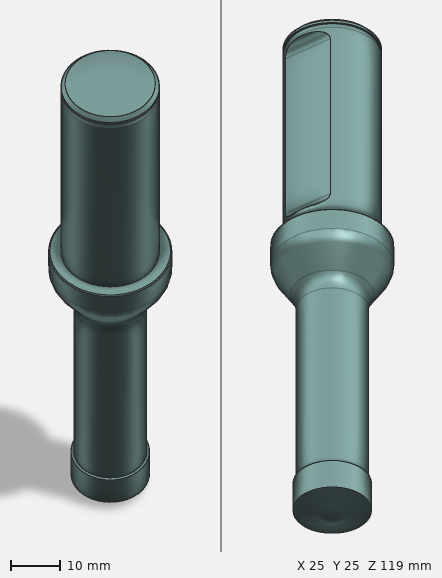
import cadquery as cq
import math

total_height = 119.0
point_height = 2.4
head_top = 9.0
flange_top = 69.0
flange_bottom = 64.0

head_diameter = 16.0
neck_diameter = 14.8
flange_diameter = 25.0
shank_diameter = 20.0

taper_angle = math.radians(33.5)
flange_blend_radius = 5.0
neck_blend_radius = 6.5
neck_top = 52.8

flange_chamfer = 0.2
shank_chamfer = 0.8
groove_top = total_height - 1.4
groove_bottom = total_height - 2.6
groove_depth = 0.4

flat_depth = 1.8
flat_runout_radius = 2.5
flat_bottom = 72.2
flat_top = 115.9

head_radius = head_diameter / 2
neck_radius = neck_diameter / 2
flange_radius = flange_diameter / 2
shank_radius = shank_diameter / 2


def blend_point(start_radius, start_z, radius, angle, direction):
    """Point reached on a taper blend after turning by angle from the vertical tangent.

    direction is +1 going up and outward, -1 going down and inward.
    """
    return (
        start_radius + direction * radius * (1 - math.cos(angle)),
        start_z + direction * radius * math.sin(angle),
    )


def make_head():
    """Cutting head: short cylinder with a conical point."""
    return (
        cq.Workplane("XZ")
        .moveTo(0, 0)
        .lineTo(head_radius, point_height)
        .lineTo(head_radius, head_top)
        .lineTo(0, head_top)
        .close()
        .revolve(360, (0, 0), (0, 1))
    )


def make_turned_holder():
    """Neck, tapered flange and shank, with a shallow groove under the shank's top edge."""
    neck_middle = blend_point(neck_radius, neck_top, neck_blend_radius, taper_angle / 2, 1)
    taper_bottom = blend_point(neck_radius, neck_top, neck_blend_radius, taper_angle, 1)
    taper_shoulder = blend_point(flange_radius, flange_bottom, flange_blend_radius, taper_angle, -1)
    taper_direction = (math.sin(taper_angle), math.cos(taper_angle))
    return (
        cq.Workplane("XZ")
        .moveTo(0, head_top)
        .lineTo(neck_radius, head_top)
        .lineTo(neck_radius, neck_top)
        .threePointArc(neck_middle, taper_bottom)
        .spline(
            [taper_shoulder, (flange_radius, flange_bottom)],
            tangents=[taper_direction, (0, 1)],
            includeCurrent=True,
        )
        .lineTo(flange_radius, flange_top - flange_chamfer)
        .lineTo(flange_radius - flange_chamfer, flange_top)
        .lineTo(shank_radius, flange_top)
        .lineTo(shank_radius, groove_bottom)
        .lineTo(shank_radius - groove_depth, groove_top)
        .lineTo(shank_radius, groove_top)
        .lineTo(shank_radius, total_height - shank_chamfer)
        .lineTo(shank_radius - shank_chamfer, total_height)
        .lineTo(0, total_height)
        .close()
        .revolve(360, (0, 0), (0, 1))
    )


def make_flat_cutter():
    """Block that cuts the flat; its two inner edges are rounded to form the run-outs."""
    runout_height = math.sqrt(2 * flat_runout_radius * flat_depth - flat_depth**2)
    lower_end = flat_bottom + runout_height - flat_runout_radius
    upper_end = flat_top - runout_height + flat_runout_radius
    cutter_depth = flat_depth + flat_runout_radius
    return (
        cq.Workplane("XY")
        .box(shank_diameter, cutter_depth, upper_end - lower_end, centered=(True, False, False))
        .edges("|X and <Y")
        .fillet(flat_runout_radius)
        .translate((0, shank_radius - flat_depth, lower_end))
    )


head = make_head()
holder = make_turned_holder().cut(make_flat_cutter())

result = cq.Compound.makeCompound([head.val(), holder.val()])